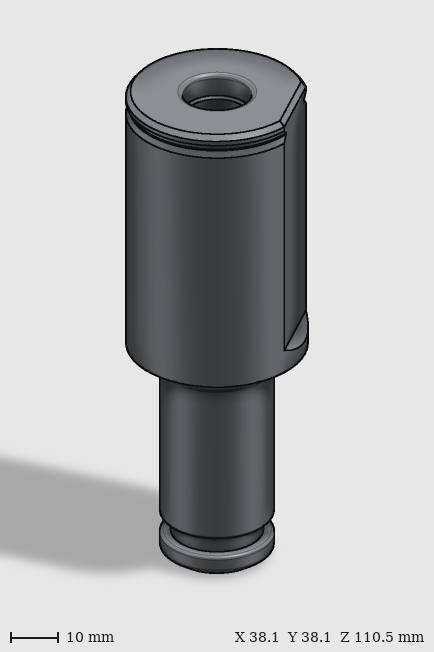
import cadquery as cq
import math

length = 110.5
body_radius = 38.1 / 2
shank_radius = 24.0 / 2
neck_radius = 19.5 / 2
foot_radius = 9.3

foot_cone_top = 1.9
neck_bottom = 5.4
neck_top = 9.6
shank_top = 45.5
body_bottom = 50.3

top_chamfer = 1.0
top_chamfer_height = 1.2
shank_edge_round = 0.7
foot_edge_round = 0.9
body_edge_radius = 18.2
shoulder_round = 1.0

groove_upper_depth = 2.2
groove_middle_depth = 3.6
groove_lower_depth = 5.2
groove_floor = 0.3
groove_depth = 0.7
groove_radius = body_radius - groove_depth

flat_x = 16.9
flat_bottom = 55.6

through_radius = 12.9 / 2
mouth_radius = 14.5 / 2
mouth_round = 1.0
mouth_depth = 5.1
ledge_angle = 30.0


def turned_blank():
    """Revolved outside shape, from the foot up to the chamfered top."""
    profile = [
        (0, 0),
        (foot_radius, 0),
        (shank_radius, foot_cone_top),
        (shank_radius, neck_bottom),
        (neck_radius, neck_bottom),
        (neck_radius, neck_top),
        (shank_radius, neck_top),
        (shank_radius, shank_top),
        (body_edge_radius, body_bottom),
        (body_radius, body_bottom),
        (body_radius, length - groove_lower_depth),
        (groove_radius, length - groove_middle_depth - groove_floor / 2),
        (groove_radius, length - groove_middle_depth + groove_floor / 2),
        (body_radius, length - groove_upper_depth),
        (body_radius, length - top_chamfer_height),
        (body_radius - top_chamfer, length),
        (0, length),
    ]
    blank = cq.Workplane("XZ").polyline(profile).close().revolve(360, (0, 0), (0, 1))
    return round_shank_edges(blank)


def round_edge(solid, radius, height, size):
    """Fillet the circular edge of the given radius at the given height."""
    margin = 0.01
    reach = radius + margin
    box = cq.selectors.BoxSelector(
        (-reach, -reach, height - margin), (reach, reach, height + margin), boundingbox=True
    )
    edges = solid.edges("%CIRCLE").edges(box).edges(cq.selectors.RadiusNthSelector(-1))
    return solid.newObject(edges.vals()).fillet(size)


def round_shank_edges(solid):
    """Round the shank's edges at the neck, the foot cone and the shoulder cone."""
    for height in (neck_bottom, neck_top):
        solid = round_edge(solid, shank_radius, height, shank_edge_round)
    solid = round_edge(solid, shank_radius, foot_cone_top, foot_edge_round)
    return round_edge(solid, shank_radius, shank_top, shoulder_round)


def flat_cutter():
    """Material outside the flat, with its sloping run-out and the chamfer at its top edge."""
    run_out = body_radius - flat_x
    profile = [
        (flat_x, length - top_chamfer_height),
        (flat_x, flat_bottom),
        (flat_x + run_out, flat_bottom - run_out),
        (flat_x + run_out, length),
        (flat_x - top_chamfer, length),
    ]
    return cq.Workplane("XZ").polyline(profile).close().extrude(body_radius, both=True)


def bore_cutter():
    """Through hole with a counterbore that narrows to it over a shallow cone."""
    ledge_top = length - mouth_depth
    ledge_drop = (mouth_radius - through_radius) * math.tan(math.radians(ledge_angle))
    profile = [
        (0, 0),
        (through_radius, 0),
        (through_radius, ledge_top - ledge_drop),
        (mouth_radius, ledge_top),
        (mouth_radius, length),
        (0, length),
    ]
    return cq.Workplane("XZ").polyline(profile).close().revolve(360, (0, 0), (0, 1))


solid = turned_blank().cut(flat_cutter()).cut(bore_cutter())
result = round_edge(solid, mouth_radius, length, mouth_round)